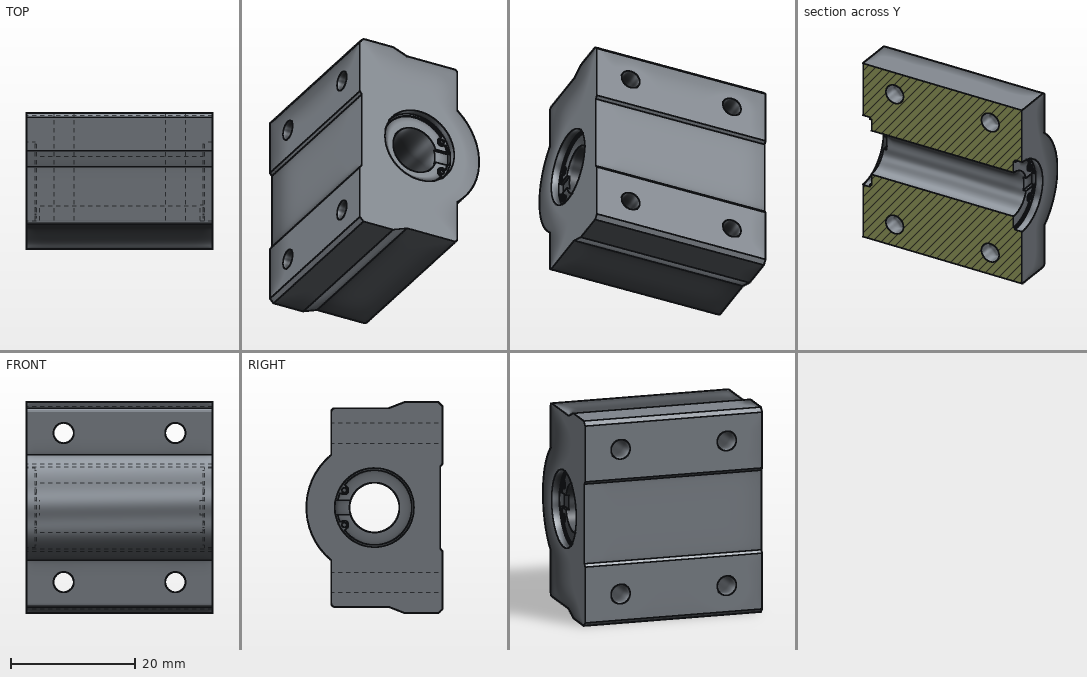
import cadquery as cq

length = 30.0
height = 34.0
barrel_radius = 10.98
back_y = 10.98
front_y = -6.97
back_chamfer = 0.68
front_edge_round = 0.6
side_step = 1.0
slope_start_y = 4.85
slope_end_y = 2.3
relief_depth = 0.37
relief_half_height = 7.07
relief_floor_half_height = 6.6

mount_diameter = 3.23
mount_spacing_x = 18.0
mount_spacing_z = 24.0

bore_diameter = 8.0
seat_diameter = 12.75
seat_depth = 1.33
ring_inner_diameter = 12.05
ring_thickness = 0.27
lug_y = -4.85
lug_z = 2.8
lug_radius = 0.68
lug_hole_diameter = 0.78
lug_end_z = 2.28
ring_web_outer_z = 3.88
ring_web_inner_y = -4.7
ring_neck = (-4.8, 3.67)
lug_shoulder = (-4.4, 3.25)
slot_width = 2.38
slot_depth = 0.5


def make_block():
    half_height = height / 2
    step_z = half_height - side_step
    upper = [
        (back_y - relief_depth, relief_floor_half_height),
        (back_y, relief_half_height),
        (back_y, half_height - back_chamfer),
        (back_y - back_chamfer, half_height),
        (slope_start_y, half_height),
        (slope_end_y, step_z),
        (front_y, step_z),
    ]
    lower = [(y, -z) for y, z in reversed(upper)]
    body = cq.Workplane("YZ").polyline(upper + lower).close().extrude(length / 2, both=True)
    body = body.edges("|X and <Y").fillet(front_edge_round)
    barrel = cq.Workplane("YZ").circle(barrel_radius).extrude(length / 2, both=True)
    front_half = cq.Workplane("XY").box(length, barrel_radius, height).translate((0, -barrel_radius / 2, 0))
    return body.union(barrel.intersect(front_half))


def end_disc(diameter, start, depth):
    """Disc at the -X end, starting at a given distance inside the end face."""
    return cq.Workplane("YZ", origin=(start - length / 2, 0, 0)).circle(diameter / 2).extrude(depth)


def make_lug(side):
    """Ring lug with its plier hole; side is +1 above the axis and -1 below."""
    plane = cq.Workplane("YZ", origin=(seat_depth - length / 2, 0, 0))
    web_outline = [
        (lug_y, lug_end_z),
        (-seat_diameter / 2, lug_end_z),
        (-seat_diameter / 2, ring_web_outer_z),
        (ring_web_inner_y, ring_web_outer_z),
        ring_neck,
        lug_shoulder,
        (lug_y, lug_z),
    ]
    web = plane.polyline([(y, side * z) for y, z in web_outline]).close().extrude(ring_thickness)
    eye = plane.center(lug_y, side * lug_z).circle(lug_radius).extrude(ring_thickness)
    hole = plane.center(lug_y, side * lug_z).circle(lug_hole_diameter / 2).extrude(ring_thickness)
    return web.union(eye).cut(hole)


def make_end_cut():
    """Material removed at the -X end: ring seat, bearing face and slot."""
    bearing_recess = end_disc(ring_inner_diameter, seat_depth, ring_thickness)
    for side in (1, -1):
        bearing_recess = bearing_recess.cut(make_lug(side))
    slot_length = seat_diameter / 2
    slot = (
        cq.Workplane("YZ", origin=(seat_depth - length / 2, 0, 0))
        .center(-slot_length / 2, 0)
        .rect(slot_length, slot_width)
        .extrude(ring_thickness + slot_depth)
    )
    return end_disc(seat_diameter, 0, seat_depth).union(bearing_recess).union(slot)


mount_holes = (
    cq.Workplane("XZ")
    .rect(mount_spacing_x, mount_spacing_z, forConstruction=True)
    .vertices()
    .circle(mount_diameter / 2)
    .extrude(height, both=True)
)
bore = cq.Workplane("YZ").circle(bore_diameter / 2).extrude(length, both=True)
end_cut = make_end_cut()

result = make_block().cut(mount_holes).cut(bore).cut(end_cut).cut(end_cut.mirror("YZ"))